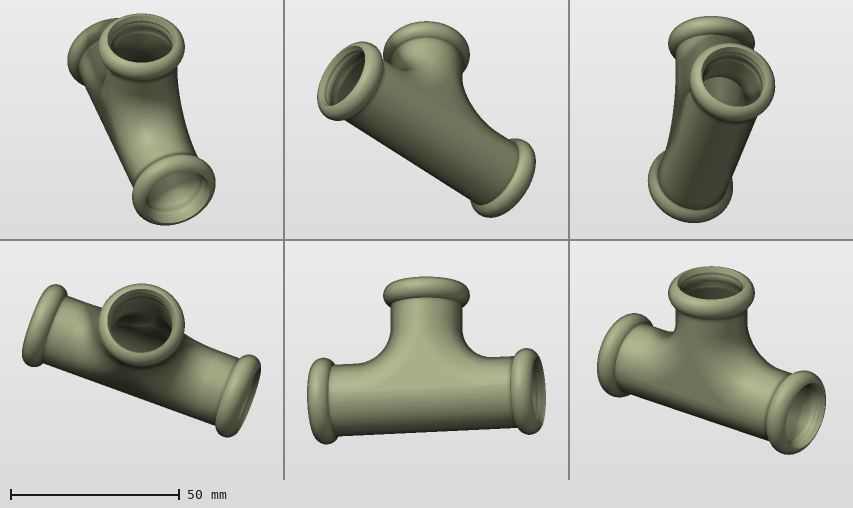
import cadquery as cq
import math

run_length = 68.0
branch_height = 34.0

tube_dia = 21.3
tube_bore_dia = 18.3
run_bore_dia = 17.0
bend_radius = 20.7

bead_dia = 25.7
bead_radius = 3.4

mouth_dia = 20.25
socket_dia = 18.7
chamfer_depth = 1.5
ring_start = 2.25
ring_end = 4.6
ring_dia = 18.15
socket_depth = 5.65
bore_start = 6.45

tube_radius = tube_dia / 2
tube_bore_radius = tube_bore_dia / 2
mouth_radius = mouth_dia / 2
socket_radius = socket_dia / 2
bead_center = bead_dia / 2 - bead_radius
bead_middle = math.sqrt(bead_radius**2 - (mouth_radius - bead_center) ** 2)
bead_end = bead_middle + math.sqrt(bead_radius**2 - (tube_radius - bead_center) ** 2)
branch_straight = branch_height - bend_radius
run_straight = run_length / 2 - bend_radius

ORIGIN = (0, 0, 0)
Y_AXIS = (0, 1, 0)


def revolve_profile(profile):
    """Turn a profile in the XZ plane around the Z axis."""
    return profile.revolve(360, ORIGIN, Y_AXIS)


def bend(section):
    """Sweep a section at the foot of the branch a quarter turn into the -X run."""
    return section.revolve(90, (-bend_radius, 0, 0), (-bend_radius, 1, 0))


def run_cylinder(diameter, length):
    """Cylinder along the run, centered on the branch."""
    return cq.Workplane("YZ", origin=(-length / 2, 0, 0)).circle(diameter / 2).extrude(length)


def both_sides(half):
    """Join a shape on the -X side with its mirror image."""
    return half.union(half.mirror("YZ"))


def bead():
    """Solid disc with the rolled bead as its rim, from the mouth down to the plain tube."""
    return revolve_profile(
        cq.Workplane("XZ")
        .lineTo(mouth_radius, 0)
        .threePointArc((bead_dia / 2, -bead_middle), (tube_radius, -bead_end))
        .lineTo(0, -bead_end)
        .close()
    )


def on_branch(tube_end):
    """Move a tube end, with its mouth at Z = 0 and reaching down, onto the branch."""
    return tube_end.translate((0, 0, branch_height))


def on_run(tube_end):
    """Place a tube end, with its mouth at Z = 0 and reaching down, at both run ends."""
    left_end = tube_end.rotate(ORIGIN, Y_AXIS, -90).translate((-run_length / 2, 0, 0))
    return both_sides(left_end)


def web(width):
    """Flat-sided block between the run axis and the centerlines of the two bends."""
    return (
        cq.Workplane("XZ")
        .moveTo(-bend_radius, 0)
        .radiusArc((0, bend_radius), -bend_radius)
        .radiusArc((bend_radius, 0), -bend_radius)
        .close()
        .extrude(width / 2, both=True)
    )


def outer_body():
    """Run, branch, web and the inner halves of the two bends.

    The web and the half bends replace the upper half of the run between the bends.
    """
    upper_middle = cq.Workplane("XY").box(
        2 * bend_radius, bead_dia, bead_dia, centered=(True, True, False)
    )
    run_tube = run_cylinder(tube_dia, run_length - 2 * bead_end)
    run = run_tube.cut(upper_middle).union(on_run(bead()))
    branch_tube = (
        cq.Workplane("XY", origin=(0, 0, bend_radius))
        .circle(tube_radius)
        .extrude(branch_straight - bead_end)
    )
    branch = branch_tube.union(on_branch(bead()))
    inner_half_disc = (
        cq.Workplane("XY", origin=(0, 0, bend_radius))
        .moveTo(0, tube_radius)
        .threePointArc((-tube_radius, 0), (0, -tube_radius))
        .close()
    )
    return run.union(web(tube_dia)).union(both_sides(bend(inner_half_disc))).union(branch)


def passages():
    """Bores of the run, the branch and the two bends, with the seal sockets."""
    disc = cq.Workplane("XY", origin=(0, 0, bend_radius)).circle(tube_bore_radius)
    left_half = cq.Workplane("XY", origin=(-run_length / 2, 0, 0)).box(run_length, run_length, 2 * branch_height)
    bent_bores = both_sides(bend(disc).intersect(left_half))
    run_bore = run_cylinder(run_bore_dia, 2 * bend_radius)
    sockets = on_run(end_bore(run_straight)).union(on_branch(end_bore(branch_straight)))
    return bent_bores.union(run_bore).union(web(run_bore_dia)).union(sockets)


def end_bore(straight_length):
    """Chamfered socket with a rounded seal ring standing in and a taper to the tube bore."""
    ring_middle = (ring_start + ring_end) / 2
    return revolve_profile(
        cq.Workplane("XZ")
        .lineTo(mouth_radius, 0)
        .lineTo(socket_radius, -chamfer_depth)
        .lineTo(socket_radius, -ring_start)
        .threePointArc((ring_dia / 2, -ring_middle), (socket_radius, -ring_end))
        .lineTo(socket_radius, -socket_depth)
        .lineTo(tube_bore_radius, -bore_start)
        .lineTo(tube_bore_radius, -straight_length)
        .lineTo(0, -straight_length)
        .close()
    )


result = outer_body().cut(passages())